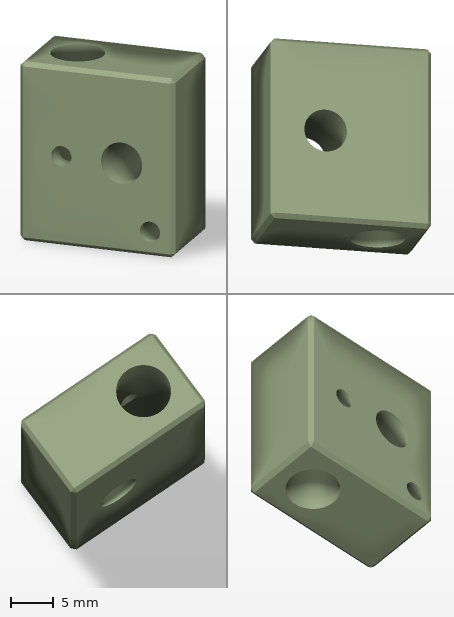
import cadquery as cq

width = 19.25
depth = 11.0
height = 22.0
edge_chamfer = 0.5

bore_diameter = 6.4
bore_x = -4.38

cross_diameter = 5.1
cross_x = 3.12

screw_diameter = 2.5
blind_x = 6.65
blind_z = -8.0
blind_depth = depth / 2


def front_hole(x, z, diameter, length):
    """Cylinder that enters the front face at (x, z) and runs toward +Y."""
    start = cq.Vector(x, -depth / 2, z)
    return cq.Workplane(cq.Solid.makeCylinder(diameter / 2, length, start, cq.Vector(0, 1, 0)))


block = cq.Workplane("XY").box(width, depth, height).edges().chamfer(edge_chamfer)

bore = cq.Workplane("XY").center(bore_x, 0).circle(bore_diameter / 2).extrude(height / 2, both=True)

screw_hole = front_hole(bore_x, 0, screw_diameter, depth / 2)
cross_hole = front_hole(cross_x, 0, cross_diameter, depth)
blind_hole = front_hole(blind_x, blind_z, screw_diameter, blind_depth)

result = block.cut(bore).cut(screw_hole).cut(cross_hole).cut(blind_hole)